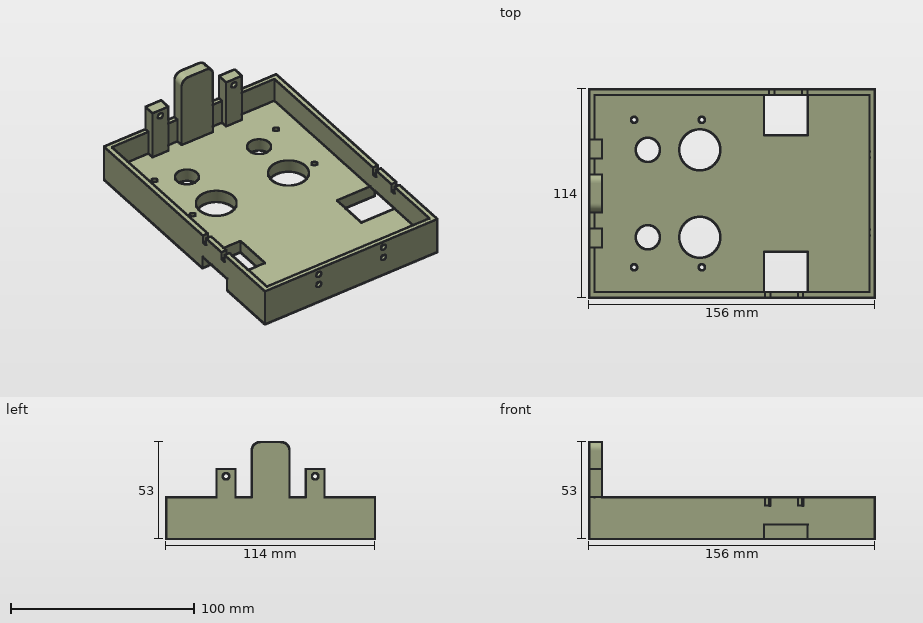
import cadquery as cq

length = 156.0
width = 114.0
tray_height = 23.0
wall_x = 3.0
wall_y = 3.3
floor_thickness = 8.0

upright_thickness = 7.0
tab_width = 20.7
tab_height = 53.0
tab_corner_radius = 4.7
lug_width = 10.5
lug_height = 38.4
lug_offset_y = 24.3
lug_hole_diameter = 3.5
lug_hole_drop = 4.0

floor_holes = [
    (24.5, 40.2, 3.3),
    (61.5, 40.2, 3.3),
    (32.0, 23.9, 13.1),
    (60.4, 23.9, 22.3),
]

window_start = 95.5
window_length = 23.7
window_depth = 25.1

notch_width = 3.0
notch_depth = 4.7
notch_pitch = 18.0
front_notch_start = 96.0
back_notch_start = 98.3

end_hole_diameter = 3.3
end_hole_offset_y = 21.4
end_hole_heights = (12.0, 19.0)

left = -length / 2
right = length / 2
half_width = width / 2


def box(x, y, z, size_x, size_y, size_z):
    """Box with its minimum corner at (x, y, z)."""
    return cq.Workplane("XY").box(size_x, size_y, size_z, centered=False).translate((x, y, z))


def x_hole(x, y, z, depth, diameter):
    """Cylinder running along +X from (x, y, z)."""
    return cq.Workplane("YZ", origin=(x, y, z)).circle(diameter / 2).extrude(depth)


def make_tray():
    cavity_height = tray_height - floor_thickness
    body = box(left, -half_width, 0, length, width, tray_height)
    cavity = box(
        left + wall_x, -half_width + wall_y, floor_thickness,
        length - 2 * wall_x, width - 2 * wall_y, cavity_height,
    )
    return body.cut(cavity)


def make_tab():
    tab = box(left, -tab_width / 2, floor_thickness, upright_thickness, tab_width, tab_height - floor_thickness)
    return tab.edges("|X and >Z").fillet(tab_corner_radius)


def make_lug(y):
    lug = box(
        left, y - lug_width / 2, floor_thickness,
        upright_thickness, lug_width, lug_height - floor_thickness,
    )
    return lug.cut(x_hole(left, y, lug_height - lug_hole_drop, upright_thickness, lug_hole_diameter))


def cut_floor_holes(body):
    for from_left, offset_y, diameter in floor_holes:
        for side in (-1, 1):
            hole = cq.Workplane("XY").center(left + from_left, side * offset_y)
            body = body.cut(hole.circle(diameter / 2).extrude(floor_thickness))
    return body


def cut_windows(body):
    for y in (-half_width, half_width - window_depth):
        body = body.cut(box(left + window_start, y, 0, window_length, window_depth, floor_thickness))
    return body


def cut_notches(body):
    z = tray_height - notch_depth
    for start, y in ((front_notch_start, -half_width), (back_notch_start, half_width - wall_y)):
        for shift in (0, notch_pitch):
            body = body.cut(box(left + start + shift, y, z, notch_width, wall_y, notch_depth))
    return body


def cut_end_holes(body):
    for side in (-1, 1):
        for z in end_hole_heights:
            body = body.cut(x_hole(right - wall_x, side * end_hole_offset_y, z, wall_x, end_hole_diameter))
    return body


result = make_tray().union(make_tab())
for side in (-1, 1):
    result = result.union(make_lug(side * lug_offset_y))
result = cut_floor_holes(result)
result = cut_windows(result)
result = cut_notches(result)
result = cut_end_holes(result)